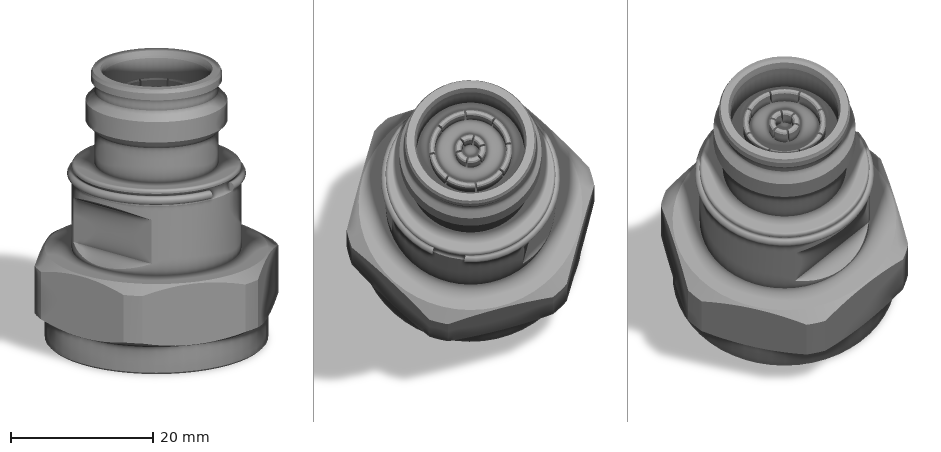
import cadquery as cq
import math


total_height = 40.15
nut_hex_bottom = 4.13
nut_hex_top = 13.5
body_top = 26.2
bulge_bottom = 31.3
bulge_top = 36.9
lip_bottom = 38.6

nut_skirt_radius = 15.75
nut_skirt_chamfer = 0.3
hex_sides = 6
hex_across_flats = 32.0
hex_across_corners = 35.49
hex_corner_radius = hex_across_corners / 2
hex_bevel_angle = 30.0

body_radius = 11.95
body_top_fillet = 0.4
flat_distance = 9.5
flat_bottom = 15.2
flat_top = 21.7
flat_slope_angle = 30.0
flat_cutter_margin = 1.0
groove_center_height = 24.71
groove_width = 1.82
groove_depth = 0.45
ring_outer_radius = 12.6
ring_center_height = 24.65
ring_wire_radius = 0.62
ring_gap = 4.65

neck_radius = 8.72
bulge_radius = 10.0
lip_radius = 9.25
lip_shoulder_radius = 9.1
lip_top_radius = 9.0
lip_shoulder_drop = 0.25
lip_edge_drop = 0.55

mouth_radius = 7.9
throat_radius = 7.68
throat_depth = 0.7
bore_radius = 7.6
bore_start_depth = 1.0
socket_depth = 5.3
contact_drop = 3.2

sleeve_outer_radius = 5.8
sleeve_inner_radius = 5.05
sleeve_chamfer = 0.2
sleeve_slots = 8
sleeve_slot_width = 0.3
pin_outer_radius = 2.13
pin_inner_radius = 1.3
pin_chamfer = 0.2
pin_slots = 6
pin_slot_width = 0.3

socket_floor = total_height - socket_depth
contact_top = total_height - contact_drop


def revolve_profile(points):
    """Solid of revolution about Z from (radius, height) points."""
    return cq.Workplane("XZ").polyline(points).close().revolve(360, (0, 0, 0), (0, 1, 0))


def make_nut():
    skirt = cq.Workplane("XY").circle(nut_skirt_radius).extrude(nut_hex_bottom)
    skirt = skirt.faces("<Z").chamfer(nut_skirt_chamfer)

    corner_diameter = hex_across_flats / math.cos(math.pi / hex_sides)
    hexagon = cq.Workplane("XY").workplane(offset=nut_hex_bottom)
    hexagon = hexagon.polygon(hex_sides, corner_diameter).extrude(nut_hex_top - nut_hex_bottom)

    bevel_height = (hex_corner_radius - nut_skirt_radius) * math.tan(math.radians(hex_bevel_angle))
    blank = revolve_profile([
        (0, nut_hex_bottom),
        (nut_skirt_radius, nut_hex_bottom),
        (hex_corner_radius, nut_hex_bottom + bevel_height),
        (hex_corner_radius, nut_hex_top - bevel_height),
        (nut_skirt_radius, nut_hex_top),
        (0, nut_hex_top),
    ])
    return skirt.union(hexagon.intersect(blank))


def make_wrench_flat():
    """Cutter for the +Y wrench flat, with sloping ends that widen outwards."""
    outer_distance = body_radius + flat_cutter_margin
    flare = (outer_distance - flat_distance) * math.tan(math.radians(flat_slope_angle))
    outline = [
        (flat_distance, flat_bottom),
        (flat_distance, flat_top),
        (outer_distance, flat_top + flare),
        (outer_distance, flat_bottom - flare),
    ]
    return cq.Workplane("YZ").polyline(outline).close().extrude(body_radius, both=True)


def make_ring_groove():
    """Round-bottomed groove around the body."""
    return (
        cq.Workplane("XZ")
        .moveTo(body_radius, groove_center_height - groove_width / 2)
        .threePointArc(
            (body_radius - groove_depth, groove_center_height),
            (body_radius, groove_center_height + groove_width / 2),
        )
        .close()
        .revolve(360, (0, 0, 0), (0, 1, 0))
    )


def make_snap_ring():
    """Round-wire ring with a gap on the +X side."""
    center_radius = ring_outer_radius - ring_wire_radius
    wire = cq.Workplane("XZ").moveTo(center_radius, ring_center_height).circle(ring_wire_radius)
    ring = wire.revolve(360, (0, 0, 0), (0, 1, 0))
    gap = cq.Workplane("XY").box(
        ring_outer_radius, ring_gap, 2 * total_height, centered=(False, True, True)
    )
    return ring.cut(gap)


def make_body():
    body = cq.Workplane("XY").workplane(offset=nut_hex_top)
    body = body.circle(body_radius).extrude(body_top - nut_hex_top)
    body = body.faces(">Z").fillet(body_top_fillet)
    body = body.cut(make_ring_groove())
    wrench_flat = make_wrench_flat()
    body = body.cut(wrench_flat).cut(wrench_flat.mirror("XZ"))
    return body.union(make_snap_ring())


def make_socket():
    bulge_slope = bulge_radius - neck_radius
    shell = revolve_profile([
        (0, body_top),
        (neck_radius, body_top),
        (neck_radius, bulge_bottom),
        (bulge_radius, bulge_bottom + bulge_slope),
        (bulge_radius, bulge_top - bulge_slope),
        (neck_radius, bulge_top),
        (neck_radius, lip_bottom),
        (lip_radius, lip_bottom),
        (lip_radius, total_height - lip_edge_drop),
        (lip_shoulder_radius, total_height - lip_shoulder_drop),
        (lip_top_radius, total_height),
        (0, total_height),
    ])
    cavity = revolve_profile([
        (0, socket_floor),
        (bore_radius, socket_floor),
        (bore_radius, total_height - bore_start_depth),
        (throat_radius, total_height - throat_depth),
        (mouth_radius, total_height),
        (0, total_height),
    ])
    return shell.cut(cavity)


def make_slotted_tube(outer_radius, inner_radius, chamfer, slots, slot_width, first_angle):
    """Tube on the socket floor, chamfered at the top and split by radial slots."""
    tube = cq.Workplane("XY").workplane(offset=socket_floor)
    tube = tube.circle(outer_radius).circle(inner_radius).extrude(contact_top - socket_floor)
    tube = tube.faces(">Z").chamfer(chamfer)
    slot = cq.Workplane("XY").workplane(offset=socket_floor)
    slot = slot.box(2 * outer_radius, slot_width, socket_depth, centered=(False, True, False))
    for index in range(slots):
        angle = first_angle + index * 360 / slots
        tube = tube.cut(slot.rotate((0, 0, 0), (0, 0, 1), angle))
    return tube


sleeve = make_slotted_tube(
    sleeve_outer_radius,
    sleeve_inner_radius,
    sleeve_chamfer,
    sleeve_slots,
    sleeve_slot_width,
    first_angle=180 / sleeve_slots,
)
center_pin = make_slotted_tube(
    pin_outer_radius,
    pin_inner_radius,
    pin_chamfer,
    pin_slots,
    pin_slot_width,
    first_angle=0,
)

result = make_nut().union(make_body()).union(make_socket()).union(sleeve).union(center_pin)